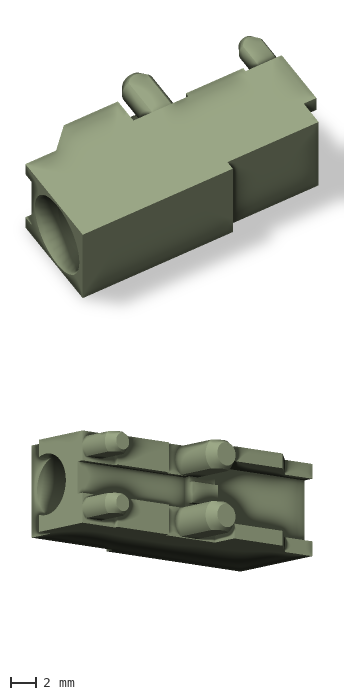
import cadquery as cq

length = 23.65
height = 7.5

body_right = 8.56
rear_right = 7.74
rear_notch_left = 5.42
rear_notch_y = 22.48
right_step_y = 13.98
raised = 0.38
land_start_y = 14.95
land_end_y = 20.3
shoulder_y = 9.85
flange_reach = 2.41
flange_taper_start_y = 4.8
flange_taper_end_y = 2.86

recess_floor_x = 0.6
flange_thickness = 1.2
channel_width = 2.63
channel_end_y = 12.5
tongue_width = 1.73

bore_x = 4.57
bore_diameter = 5.0
countersink_diameter = 6.93
countersink_depth = 1.59

pin_offset_z = 2.5
pin_tip_length = 0.85
pin_root = 0.24
big_pin_y = 12.52
big_pin_diameter = 2.93
big_pin_tip_diameter = 1.9
big_pin_thickness = 2.35
big_pin_length = 4.64
small_pin_diameter = 2.32
small_pin_y = length - small_pin_diameter / 2
small_pin_tip_diameter = 1.35
small_pin_thickness = 1.65
small_pin_length = 3.65


def centred_box(x_min, x_max, y_min, y_max, size_z):
    """Box between X and Y limits, centred on the middle plane."""
    return cq.Workplane("XY").box(
        x_max - x_min, y_max - y_min, size_z, centered=(False, False, True)
    ).translate((x_min, y_min, 0))


def make_body():
    outline = [
        (-raised, 0),
        (body_right, 0),
        (body_right, right_step_y),
        (rear_right, right_step_y),
        (rear_right, rear_notch_y),
        (rear_notch_left, rear_notch_y),
        (rear_notch_left, length),
        (0, length),
        (0, land_end_y),
        (-raised, land_end_y),
        (-raised, land_start_y),
        (0, land_start_y),
        (0, shoulder_y),
        (-flange_reach, shoulder_y),
        (-flange_reach, flange_taper_start_y),
        (-raised, flange_taper_end_y),
    ]
    return cq.Workplane("XY").polyline(outline).close().extrude(height / 2, both=True)


def make_flange_pocket():
    """Gap between the two front flanges, open to the front."""
    gap = height - 2 * flange_thickness
    return centred_box(-flange_reach, recess_floor_x, 0, shoulder_y, gap)


def make_rear_channel():
    """Channel between the two rows of lands, open to the rear."""
    return centred_box(-raised, recess_floor_x, channel_end_y, length, channel_width)


def make_tongue():
    """Raised pad between the big pins."""
    return centred_box(-raised, recess_floor_x, shoulder_y, channel_end_y, tongue_width)


def make_bore():
    """Through bore with a conical entry at the front, as a turned profile."""
    bore_radius = bore_diameter / 2
    profile = [
        (0, 0),
        (countersink_diameter / 2, 0),
        (bore_radius, countersink_depth),
        (bore_radius, length),
        (0, length),
    ]
    turned = cq.Workplane("XY").polyline(profile).close().revolve(360, (0, 0), (0, 1))
    return turned.translate((bore_x, 0, 0))


def make_pin(y, z, diameter, tip_diameter, thickness, pin_length):
    """Pin toward -X with a conical tip and flats above and below."""
    radius = diameter / 2
    profile = [
        (pin_root, 0),
        (pin_root, radius),
        (pin_tip_length - pin_length, radius),
        (-pin_length, tip_diameter / 2),
        (-pin_length, 0),
    ]
    round_pin = cq.Workplane("XY").polyline(profile).close().revolve(360, (0, 0), (1, 0))
    flats = centred_box(-pin_length, pin_root, -radius, radius, thickness)
    return round_pin.intersect(flats).translate((0, y, z))


result = make_body().cut(make_flange_pocket()).cut(make_rear_channel())
result = result.union(make_tongue()).cut(make_bore())
for pin_z in (-pin_offset_z, pin_offset_z):
    big_pin = make_pin(
        big_pin_y, pin_z, big_pin_diameter, big_pin_tip_diameter,
        big_pin_thickness, big_pin_length,
    )
    small_pin = make_pin(
        small_pin_y, pin_z, small_pin_diameter, small_pin_tip_diameter,
        small_pin_thickness, small_pin_length,
    )
    result = result.union(big_pin).union(small_pin)